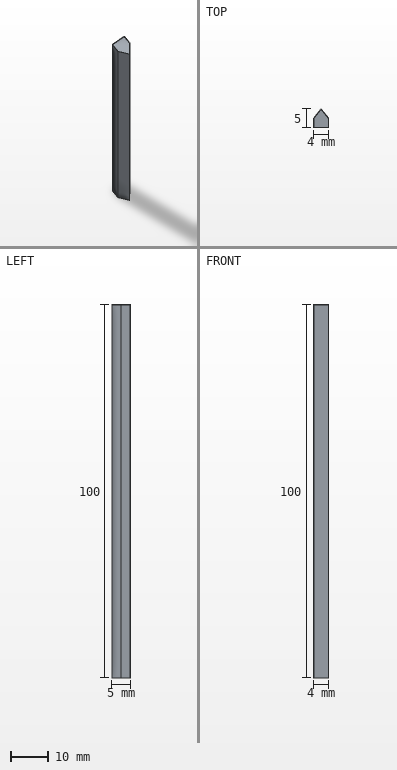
import cadquery as cq

width = 4.0
depth = 5.0
length = 100.0

wall_depth = 2.5

half_width = width / 2

profile = [
    (-half_width, 0),
    (half_width, 0),
    (half_width, wall_depth),
    (0, depth),
    (-half_width, wall_depth),
]

result = cq.Workplane("XY").polyline(profile).close().extrude(length)